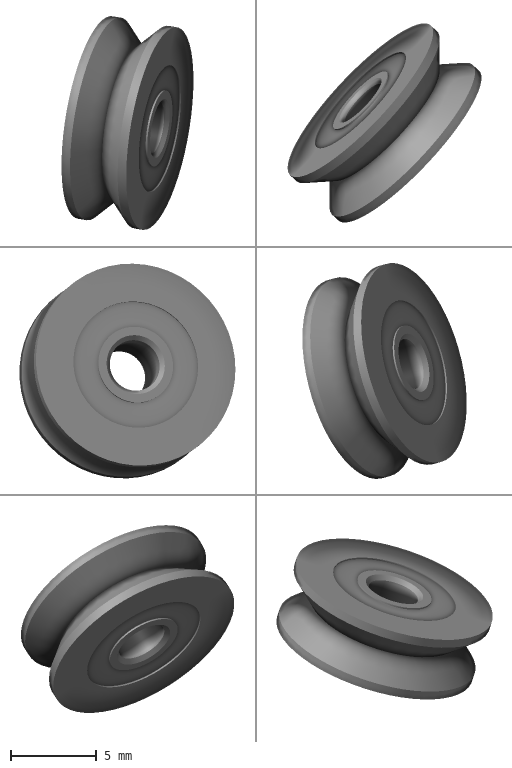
import cadquery as cq

width = 4.0
outer_diameter = 12.0
groove_depth = 1.47
bore_diameter = 3.0
bore_chamfer = 0.25
hub_diameter = 4.5
recess_diameter = 7.5
recess_depth = 0.1

half_width = width / 2
outer_radius = outer_diameter / 2


def wheel_blank():
    """Disc with a V groove around its rim, revolved about X."""
    groove_half_width = groove_depth
    profile = (
        cq.Workplane("XY")
        .moveTo(-half_width, 0)
        .lineTo(-half_width, outer_radius)
        .lineTo(-groove_half_width, outer_radius)
        .lineTo(0, outer_radius - groove_depth)
        .lineTo(groove_half_width, outer_radius)
        .lineTo(half_width, outer_radius)
        .lineTo(half_width, 0)
        .close()
    )
    return profile.revolve(360, (0, 0, 0), (1, 0, 0))


def bore_cutter():
    """Through bore that flares into a 45 degree chamfer at both ends."""
    bore_radius = bore_diameter / 2
    mouth_radius = bore_radius + bore_chamfer
    chamfer_start = half_width - bore_chamfer
    profile = (
        cq.Workplane("XY")
        .moveTo(-half_width, 0)
        .lineTo(-half_width, mouth_radius)
        .lineTo(-chamfer_start, bore_radius)
        .lineTo(chamfer_start, bore_radius)
        .lineTo(half_width, mouth_radius)
        .lineTo(half_width, 0)
        .close()
    )
    return profile.revolve(360, (0, 0, 0), (1, 0, 0))


def recess_cutter(start_x):
    """Shallow ring between the hub and the rim, starting at start_x."""
    return (
        cq.Workplane("YZ", origin=(start_x, 0, 0))
        .circle(recess_diameter / 2)
        .circle(hub_diameter / 2)
        .extrude(recess_depth)
    )


result = wheel_blank().cut(bore_cutter())
for recess_start in (-half_width, half_width - recess_depth):
    result = result.cut(recess_cutter(recess_start))